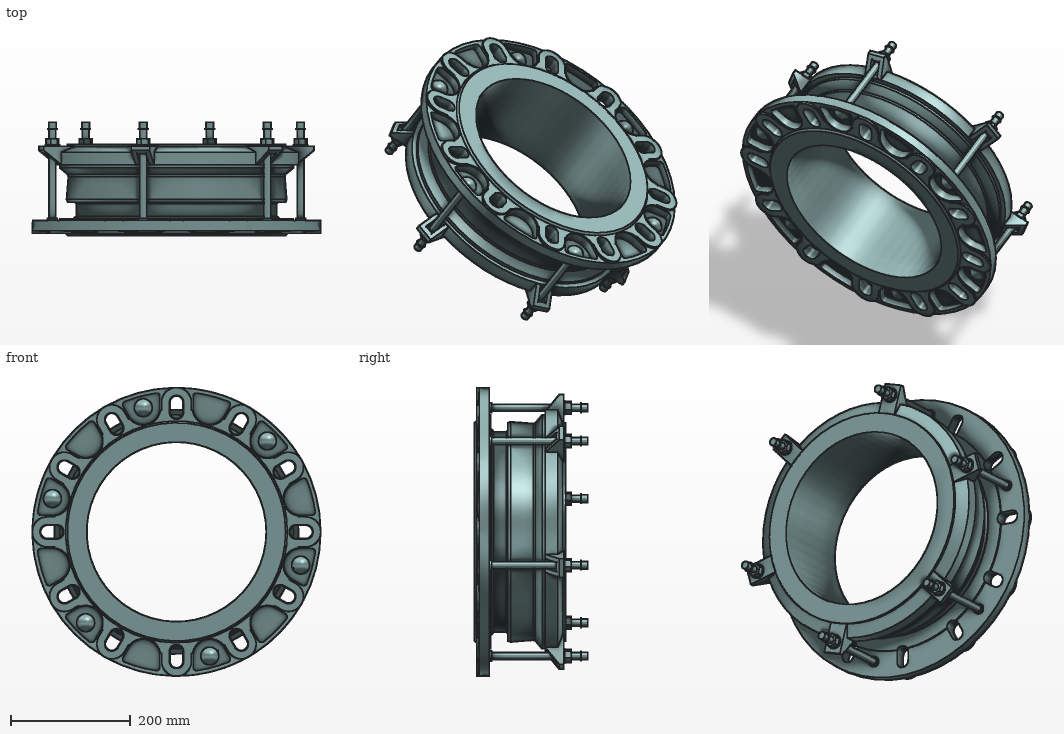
import cadquery as cq
import math


TOTAL_LENGTH = 190.0
BORE_R = 150.0
CUT_MARGIN = 1.0

BOSS_REACH_R = 241.5
FLANGE_R = 241.3
BOSS_FACE_Y = 4.0
RIM_FACE_Y = 8.5
RIM_SLOPE_START_R = 174.0
FLANGE_BACK_Y = 25.5
SEAL_FACE_R = 182.5
SEAL_BASE_R = 185.5

BOLT_COUNT = 12
BOLT_STEP = 360.0 / BOLT_COUNT
BOSS_R = 25.0
BOSS_CENTER_R = BOSS_REACH_R - BOSS_R
SLOT_R = 12.0
SLOT_DRAFT_ANGLE = 3.0
SLOT_INNER_CENTER_R = 200.5

BACK_RING_R = 196.0
BACK_RING_Y = 28.0

STUD_CIRCLE_R = 215.0
POCKET_R = 28.0
POCKET_OUTER_R = 234.7
POCKET_FLOOR_Y = 21.0
POCKET_CORNER_R = 6.0
RECESS_R = 29.0
WEB_R = 205.0

NECK_R = 168.0
NECK_FOOT_R = 172.0
NECK_FOOT_Y = 29.5
NECK_START_Y = 32.5
BELLY_START_Y = 55.7
BELLY_R = 184.5
BELLY_EDGE = 2.0
NECK_TOP_CHAMFER = 2.0
BELLY_FULL_Y = 61.0
WAIST_R = 181.5
WAIST_Y = 98.5
FLARE_START_R = 182.5
FLARE_START_Y = 102.5
LIP_R = 196.0
LIP_START_Y = 113.5

GLAND_START_Y = 118.5
GLAND_R = 204.5
GLAND_SHOULDER_Y = 139.6
GLAND_COLLAR_R = 183.0
GLAND_COLLAR_Y = 148.5
GLAND_END_Y = 152.8

STUD_COUNT = 6
STUD_START_ANGLE = 45.0
LUG_WIDTH = 32.0
LUG_OUTER_R = 234.0
LUG_INNER_R = 180.0
LUG_TOP_Y = 150.0
LUG_TIP_Y = 142.5
LUG_FOOT_Y = 119.0
LUG_WINDOW_WIDTH = 16.0
LUG_WINDOW_OUTER_R = 227.0
LUG_WINDOW_TOP_Y = 140.0

STUD_R = 6.0
DOME_BASE_R = 15.0
DOME_HEIGHT = 10.0
DOME_R = (DOME_BASE_R**2 + DOME_HEIGHT**2) / (2 * DOME_HEIGHT)
FOOT_R = 8.5
FOOT_TOP_Y = 29.5
WASHER_R = 12.0
WASHER_TOP_Y = 151.8
NUT_SIDES = 6
NUT_CORNER_R = 11.4
NUT_TOP_Y = 162.0
CAP_R = 6.5
CAP_FLANGE_R = 8.0
CAP_FLANGE_THICKNESS = 0.8
CAP_START_Y = 178.0


def plane_at(y):
    """Workplane across the main axis, with local x along X and local y along Z."""
    return cq.Workplane("XZ", origin=(0, y, 0))


def disc(radius, start_y, end_y, center_r=0.0):
    """Cylinder along Y whose axis crosses the X axis at center_r."""
    return plane_at(start_y).center(center_r, 0).circle(radius).extrude(start_y - end_y)


def revolved(profile):
    """Solid of revolution about Y from (radius, depth) points."""
    return cq.Workplane("XY").polyline(profile).close().revolve(360, (0, 0, 0), (0, 1, 0))


def turned(shape, angle):
    """Turn a shape about Y, from +X toward +Z."""
    return shape.rotate((0, 0, 0), (0, 1, 0), -angle)


def repeated(shape, count, start_angle):
    """Copies of one solid equally spaced about Y."""
    solid = shape.val()
    copies = cq.Workplane("XY")
    for index in range(count):
        copies = copies.add(turned(cq.Workplane(solid), start_angle + index * 360.0 / count).val())
    return copies


def fuse_all(base, copies):
    for solid in copies.vals():
        base = base.union(cq.Workplane(solid))
    return base


def cut_all(base, copies):
    return base.cut(cq.Workplane(cq.Compound.makeCompound(copies.vals())))


def radial_slot(radius, inner_r, outer_r, start_y, end_y, draft=0.0):
    """Round-ended bar along X between two end centres, narrowing with depth when drafted."""
    length = outer_r - inner_r + 2 * radius
    return (
        plane_at(start_y)
        .center((inner_r + outer_r) / 2, 0)
        .slot2D(length, 2 * radius)
        .extrude(start_y - end_y, taper=draft)
    )


def pocket():
    """Pocket with a round inner end, two sides parallel to the bolt slots and an arc outside."""
    half_angle = math.radians(BOLT_STEP / 2)
    tangent_x = STUD_CIRCLE_R - POCKET_R * math.sin(half_angle)
    tangent_z = POCKET_R * math.cos(half_angle)
    side_offset = STUD_CIRCLE_R * math.sin(half_angle) - POCKET_R
    corner_angle = half_angle - math.asin(side_offset / POCKET_OUTER_R)
    corner_x = POCKET_OUTER_R * math.cos(corner_angle)
    corner_z = POCKET_OUTER_R * math.sin(corner_angle)
    outline = (
        plane_at(POCKET_FLOOR_Y)
        .moveTo(tangent_x, -tangent_z)
        .lineTo(corner_x, -corner_z)
        .threePointArc((POCKET_OUTER_R, 0), (corner_x, corner_z))
        .lineTo(tangent_x, tangent_z)
        .threePointArc((STUD_CIRCLE_R - POCKET_R, 0), (tangent_x, -tangent_z))
        .close()
        .extrude(POCKET_FLOOR_Y)
    )
    corners = cq.selectors.BoxSelector(
        (corner_x - CUT_MARGIN, -CUT_MARGIN, -corner_z - CUT_MARGIN),
        (corner_x + CUT_MARGIN, POCKET_FLOOR_Y + CUT_MARGIN, corner_z + CUT_MARGIN),
    )
    return outline.edges("|Y").edges(corners).fillet(POCKET_CORNER_R)


def make_sloped_disc():
    """Flange disc whose front face slopes back from the hub to the rim."""
    profile = [
        (0, BOSS_FACE_Y),
        (RIM_SLOPE_START_R, BOSS_FACE_Y),
        (FLANGE_R, RIM_FACE_Y),
        (FLANGE_R, FLANGE_BACK_Y),
        (0, FLANGE_BACK_Y),
    ]
    return revolved(profile)


def make_flange():
    """Flange disc with raised bosses in front, a ring behind, pockets and bolt slots."""
    web = disc(WEB_R, BOSS_FACE_Y, RIM_FACE_Y)
    recess = disc(RECESS_R, 0, RIM_FACE_Y, STUD_CIRCLE_R)
    front = cut_all(web, repeated(recess, BOLT_COUNT, BOLT_STEP / 2))
    boss = radial_slot(BOSS_R, SLOT_INNER_CENTER_R, BOSS_CENTER_R, BOSS_FACE_Y, RIM_FACE_Y)

    flange = make_sloped_disc().union(front)
    flange = fuse_all(flange, repeated(boss, BOLT_COUNT, 0))
    flange = flange.union(disc(BACK_RING_R, FLANGE_BACK_Y, BACK_RING_Y))
    flange = cut_all(flange, repeated(pocket(), BOLT_COUNT, BOLT_STEP / 2))

    slot = radial_slot(
        SLOT_R,
        SLOT_INNER_CENTER_R,
        BOSS_CENTER_R,
        BOSS_FACE_Y,
        BACK_RING_Y + CUT_MARGIN,
        SLOT_DRAFT_ANGLE,
    )
    return cut_all(flange, repeated(slot, BOLT_COUNT, 0))


def make_body():
    """Turned sealing face, neck, belly, flared lip and gland ring around the bore."""
    profile = [
        (BORE_R, 0),
        (SEAL_FACE_R, 0),
        (SEAL_BASE_R, BOSS_FACE_Y),
        (NECK_FOOT_R, BOSS_FACE_Y),
        (NECK_FOOT_R, NECK_FOOT_Y),
        (NECK_R, NECK_START_Y),
        (NECK_R, BELLY_START_Y - NECK_TOP_CHAMFER),
        (NECK_R + NECK_TOP_CHAMFER, BELLY_START_Y),
        (BELLY_R - BELLY_EDGE, BELLY_START_Y),
        (BELLY_R, BELLY_FULL_Y),
        (WAIST_R, WAIST_Y),
        (FLARE_START_R, FLARE_START_Y),
        (LIP_R, LIP_START_Y),
        (LIP_R, GLAND_START_Y),
        (GLAND_R, GLAND_START_Y),
        (GLAND_R, GLAND_SHOULDER_Y),
        (GLAND_COLLAR_R, GLAND_COLLAR_Y),
        (GLAND_COLLAR_R, GLAND_END_Y),
        (BORE_R, GLAND_END_Y),
    ]
    return revolved(profile)


def make_lug():
    """Clamp lug on the X axis: a wedge with a sloped underside, open around the stud."""
    wedge = (
        cq.Workplane("XY")
        .moveTo(LUG_INNER_R, LUG_TOP_Y)
        .lineTo(LUG_OUTER_R, LUG_TOP_Y)
        .lineTo(LUG_OUTER_R, LUG_TIP_Y)
        .lineTo(GLAND_R, LUG_FOOT_Y)
        .lineTo(LUG_INNER_R, LUG_FOOT_Y)
        .close()
        .extrude(LUG_WIDTH / 2, both=True)
    )
    window_length = LUG_WINDOW_OUTER_R - LUG_INNER_R
    window_depth = LUG_WINDOW_TOP_Y - LUG_FOOT_Y
    window = cq.Workplane("XY").box(window_length, window_depth, LUG_WINDOW_WIDTH).translate(
        (LUG_INNER_R + window_length / 2, LUG_FOOT_Y + window_depth / 2, 0)
    )
    return wedge.cut(window)


def make_stud():
    """Stud on the X axis with its domed head, foot, washer, nut and end cap."""
    dome_center_y = POCKET_FLOOR_Y - DOME_HEIGHT + DOME_R
    head = cq.Workplane("XY").sphere(DOME_R).translate((STUD_CIRCLE_R, dome_center_y, 0))
    behind_floor = disc(DOME_R + CUT_MARGIN, POCKET_FLOOR_Y, POCKET_FLOOR_Y + 2 * DOME_R, STUD_CIRCLE_R)
    stud = disc(STUD_R, POCKET_FLOOR_Y, TOTAL_LENGTH, STUD_CIRCLE_R).union(head.cut(behind_floor))
    stud = stud.union(disc(FOOT_R, FLANGE_BACK_Y, FOOT_TOP_Y, STUD_CIRCLE_R))
    stud = stud.union(disc(WASHER_R, LUG_TOP_Y, WASHER_TOP_Y, STUD_CIRCLE_R))
    nut = (
        plane_at(WASHER_TOP_Y)
        .center(STUD_CIRCLE_R, 0)
        .polygon(NUT_SIDES, 2 * NUT_CORNER_R)
        .extrude(WASHER_TOP_Y - NUT_TOP_Y)
    )
    cap_flange_end_y = CAP_START_Y + CAP_FLANGE_THICKNESS
    stud = stud.union(nut)
    stud = stud.union(disc(CAP_FLANGE_R, CAP_START_Y, cap_flange_end_y, STUD_CIRCLE_R))
    return stud.union(disc(CAP_R, CAP_START_Y, TOTAL_LENGTH, STUD_CIRCLE_R))


def make_adaptor():
    flange = make_flange().cut(disc(BORE_R, 0, TOTAL_LENGTH))
    adaptor = flange.union(make_body())
    adaptor = fuse_all(adaptor, repeated(make_lug(), STUD_COUNT, STUD_START_ANGLE))
    return fuse_all(adaptor, repeated(make_stud(), STUD_COUNT, STUD_START_ANGLE))


result = make_adaptor()